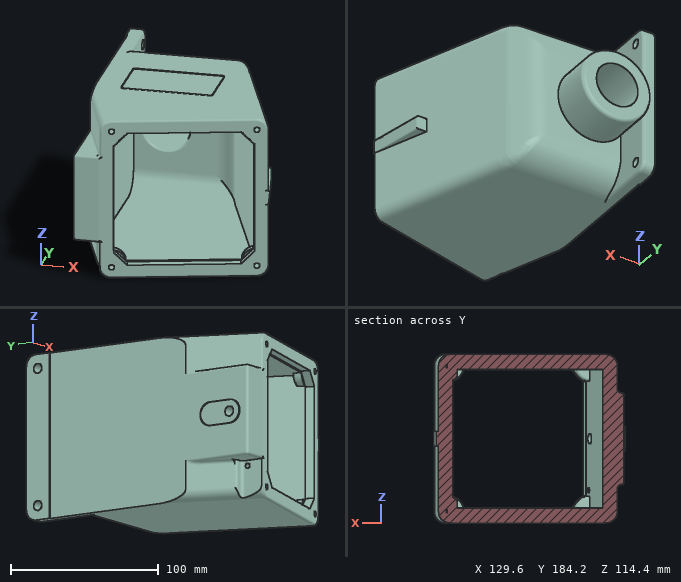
import cadquery as cq
import math

box_side = 114.4
half_side = box_side / 2
mouth_angle = math.radians(15)
wall_angle = math.radians(20)
mouth_x = 74.5
mouth_y = 15.0
back_x = 1.0
rear_y = 152.8
rear_radius = 25.2
edge_radius = 7.7
rim_radius = 1.8
wall = 9.5

opening_half = 47.7
opening_corner = 9.2
lip_depth = 6.5
cavity_half_height = 46.8
screw_offset = 49.2
screw_diameter = 3.7
screw_depth = 11.0
screw_boss_radius = 10.3
screw_boss_depth = 12.9
screw_boss_round = 1.8

plate_top_y = 180.8
plate_edge_radius = 2.2
pad_bottom_y = 161.9
plate_hole_y = 171.5
plate_hole_z = 47.3
plate_hole_diameter = 6.6

tube_x = 32.5
tube_end_y = 184.2
tube_radius = 27.5
tube_end_radius = 3.0
bore_radius = 16.5
bore_round = 1.7

foot_half_height = 31.1
foot_edge_radius = 1.8
foot_root_radius = 2.5
slot_pad_ends_y = (6.5, 38.3)
slot_pad_width = 16.2
foot_hole_y = 14.5
foot_hole_diameter = 6.8

flat_x = 19.2
flat_end_y = 17.1
flat_round = 2.2
drain_y = 12.5
drain_z = -34.8
drain_diameter = 3.5

rib_width = 10.3
rib_top_x = 121.7
rib_top_y = 72.4
rib_edge_radius = 1.0

panel_x = (19.2, 82.5)
panel_y = (63.9, 102.0)
tag_x = (19.9, 44.4)
tag_y = (160.2, 173.1)
recess_depth = 0.5
recess_corner = 1.8

margin = 0.2


def mouth_point(across, depth):
    """XY position from a distance along the mouth and a depth behind it."""
    x = mouth_x + across * math.cos(mouth_angle) - depth * math.sin(mouth_angle)
    y = mouth_y + across * math.sin(mouth_angle) + depth * math.cos(mouth_angle)
    return x, y


def wall_point(across, depth):
    """Point of the side wall line that meets the mouth plane at `across`."""
    return mouth_point(across - depth * math.tan(wall_angle - mouth_angle), depth)


def wall_x(across, y):
    """X of that side wall line at a given Y."""
    start_x, start_y = mouth_point(across, 0)
    return start_x - (y - start_y) * math.tan(wall_angle)


def wall_y(across, x):
    """Y of that side wall line at a given X."""
    start_x, start_y = mouth_point(across, 0)
    return start_y + (start_x - x) / math.tan(wall_angle)


round_y = rear_y - rear_radius
round_x = wall_x(half_side, round_y) - rear_radius / math.cos(wall_angle)
round_z = half_side - rear_radius
inner_rear_y = rear_y - (half_side - opening_half) * math.cos(wall_angle - mouth_angle)

rim_normal = cq.Vector(math.sin(mouth_angle), -math.cos(mouth_angle), 0)
along_wall = cq.Vector(-math.sin(wall_angle), math.cos(wall_angle), 0)
along_wall_edges = cq.selectors.ParallelDirSelector(along_wall)


def round_point(radius, angle):
    return round_x + radius * math.cos(angle), round_y + radius * math.sin(angle)


def shell(left, right, half_height, left_x, depth):
    """Leaning box with rounded rear: plan outline crossed with side outline.

    left, right: where the side wall lines meet the mouth plane.
    """
    middle_angle = (wall_angle + math.pi / 2) / 2
    radius = (wall_x(right, round_y) - round_x) * math.cos(wall_angle)
    plan = (
        cq.Workplane("XY")
        .moveTo(*wall_point(left, depth))
        .lineTo(*wall_point(right, depth))
        .lineTo(*round_point(radius, wall_angle))
        .threePointArc(round_point(radius, middle_angle), (round_x, round_y + radius))
        .lineTo(left_x, round_y + radius)
        .lineTo(left_x, wall_y(left, left_x))
        .close()
        .extrude(half_height, both=True)
    )
    side = (
        cq.Workplane("YZ")
        .rect(2 * (round_y + radius), 2 * half_height)
        .extrude(2 * box_side)
        .edges("|X and >Y")
        .fillet(half_height - round_z)
    )
    return plan.intersect(side)


def mouth_plane():
    across = (math.cos(mouth_angle), math.sin(mouth_angle), 0)
    return cq.Workplane(cq.Plane((mouth_x, mouth_y, 0), across, rim_normal))


def screw_cylinders(radius, depth):
    size = 2 * screw_offset
    return mouth_plane().rect(size, size, forConstruction=True).vertices().circle(radius).extrude(-depth)


def x_cylinder(y, z, diameter, length):
    return cq.Workplane("YZ").center(y, z).circle(diameter / 2).extrude(length)


def block(x_range, y_range, z_range):
    corner = (x_range[0], y_range[0], z_range[0])
    size = (x_range[1] - x_range[0], y_range[1] - y_range[0], z_range[1] - z_range[0])
    return cq.Workplane("XY").box(*size, centered=False).translate(corner)


def make_box():
    outer = shell(-half_side, half_side, half_side, back_x, 0)
    outer = outer.edges(along_wall_edges).fillet(edge_radius)
    return outer.faces(cq.selectors.DirectionMinMaxSelector(rim_normal)).edges().fillet(rim_radius)


def make_cavity():
    cavity = shell(-opening_half, opening_half, cavity_half_height, wall, lip_depth)
    bosses = screw_cylinders(screw_boss_radius, screw_boss_depth)
    boss_ends = bosses.faces(cq.selectors.DirectionMinMaxSelector(rim_normal, directionMax=False))
    cavity = cavity.cut(boss_ends.edges().fillet(screw_boss_round))
    opening = mouth_plane().rect(2 * opening_half, 2 * opening_half).extrude(-lip_depth)
    corners = opening.edges(cq.selectors.ParallelDirSelector(rim_normal))
    return cavity.union(corners.chamfer(opening_corner))


def make_plate():
    plate = block((back_x, wall), (round_y, plate_top_y), (-half_side, half_side))
    plate = plate.edges("|X and >Y").fillet(edge_radius)
    plate = plate.faces(">X").edges("not <Y").fillet(plate_edge_radius)
    pad = block((0, back_x), (pad_bottom_y, plate_top_y), (-half_side, half_side))
    return plate.union(pad.edges("|X and >Y").fillet(edge_radius))


def make_tube():
    tube = cq.Workplane("XZ").center(tube_x, 0).circle(tube_radius).extrude(-tube_end_y)
    tube = tube.faces(">Y").edges().fillet(tube_end_radius)
    tube = tube.intersect(block((0, box_side), (inner_rear_y, tube_end_y), (-half_side, half_side)))
    tag = block(tag_x, tag_y, (0, tube_radius)).edges("|Z").fillet(recess_corner)
    tag_floor = cq.Workplane("XZ").center(tube_x, 0).circle(tube_radius - recess_depth).extrude(-tube_end_y)
    return tube.cut(tag.cut(tag_floor))


def make_foot():
    front_x = mouth_x - mouth_y / math.tan(mouth_angle)
    top_y = wall_y(-half_side, back_x)
    outline = [
        (back_x, 0),
        (front_x, 0),
        mouth_point(2 * rim_radius - half_side, 0),
        wall_point(2 * rim_radius - half_side, wall),
        (wall, top_y),
        (back_x, top_y),
    ]
    foot = cq.Workplane("XY").polyline(outline).close().extrude(foot_half_height, both=True)
    back_edges = foot.faces("<X").edges("not >Y")
    front_edges = foot.faces("<Y").edges("|X")
    return foot.newObject(back_edges.vals() + front_edges.vals()).fillet(foot_edge_radius)


def make_slot_pad():
    low_y, high_y = slot_pad_ends_y
    middle_y = (low_y + high_y) / 2
    return cq.Workplane("YZ").center(middle_y, 0).slot2D(high_y - low_y, slot_pad_width).extrude(wall)


def make_rib():
    corner = mouth_point(half_side, 0)
    rib_normal = cq.Vector(rib_top_y - corner[1], corner[0] - rib_top_x, 0)
    inside = mouth_point(half_side - wall / 2, 0)
    root_x = wall_x(half_side - wall / 2, rib_top_y)
    rib = (
        cq.Workplane("XY")
        .polyline([corner, (rib_top_x, rib_top_y), (root_x, rib_top_y), inside])
        .close()
        .extrude(rib_width / 2, both=True)
    )
    outer_edges = rib.faces(cq.selectors.DirectionMinMaxSelector(rib_normal)).edges()
    return outer_edges.fillet(rib_edge_radius)


def make_panel():
    panel = block(panel_x, panel_y, (half_side - recess_depth, half_side))
    return panel.edges("|Z").fillet(recess_corner)


def cut_bore(solid):
    """Cut the tube bore and round its edge inside the cavity."""
    bore = cq.Workplane("XZ").center(tube_x, 0).circle(bore_radius).extrude(-tube_end_y)
    bore = bore.intersect(block((0, box_side), (round_y, tube_end_y), (-half_side, half_side)))
    inner_edge = cq.selectors.BoxSelector(
        (tube_x - margin, inner_rear_y - margin, -margin),
        (tube_x + margin, inner_rear_y + margin, margin),
    )
    return solid.cut(bore).edges(inner_edge).fillet(bore_round)


def round_foot_roots(solid):
    """Blend the two sloping edges between the foot sides and the left wall."""
    for side in (-1, 1):
        z = side * foot_half_height
        near_side = cq.selectors.BoxSelector((0, 0, z - margin), (wall * 2, box_side / 2, z + margin))
        solid = solid.edges(along_wall_edges).edges(near_side).fillet(foot_root_radius)
    return solid


def make_flat():
    """Cutter for the flat, with a rounded inner corner and a rounded step up to the wall."""
    step_x = wall_x(-half_side, flat_end_y)
    tangent = flat_round * math.tan(math.pi / 4 - wall_angle / 2)
    wall_tangent_y = flat_end_y + tangent * math.cos(wall_angle)
    return (
        cq.Workplane("XY", origin=(0, 0, -half_side))
        .lineTo(flat_x, 0)
        .lineTo(flat_x, flat_end_y - flat_round)
        .tangentArcPoint((flat_x - flat_round, flat_end_y), relative=False)
        .lineTo(step_x + tangent, flat_end_y)
        .tangentArcPoint((step_x - tangent * math.sin(wall_angle), wall_tangent_y), relative=False)
        .lineTo(0, wall_tangent_y)
        .close()
        .extrude(half_side - foot_half_height)
    )


body = make_box().union(make_tube()).union(make_plate()).union(make_rib())
body = round_foot_roots(body.union(make_foot()))
body = body.cut(make_flat()).union(make_slot_pad())
body = cut_bore(body.cut(make_cavity()))
body = body.cut(screw_cylinders(screw_diameter / 2, screw_depth))
for side in (-1, 1):
    body = body.cut(x_cylinder(plate_hole_y, side * plate_hole_z, plate_hole_diameter, wall))
body = body.cut(x_cylinder(foot_hole_y, 0, foot_hole_diameter, mouth_x / 2))
body = body.cut(x_cylinder(drain_y, drain_z, drain_diameter, mouth_x / 2))
result = body.cut(make_panel())